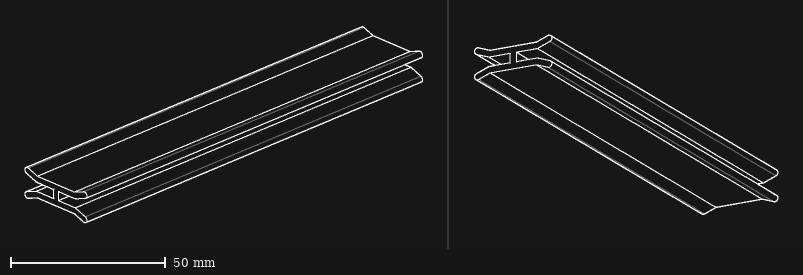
import cadquery as cq
import math

length = 152.4
width = 28.5
height = 11.0

wall = 2.3
slot_height = 3.2
lip_angle = math.radians(20)

tip_radius = wall / 2
tip_x = width / 2 - tip_radius
tip_z = height / 2 - tip_radius

flange_inner_z = slot_height / 2
flange_mid_z = flange_inner_z + wall / 2
flange_outer_z = flange_inner_z + wall
bend_x = tip_x - (tip_z - flange_mid_z) / math.tan(lip_angle)
miter_shift = wall / 2 * math.tan(lip_angle / 2)
outer_bend_x = bend_x - miter_shift
inner_bend_x = bend_x + miter_shift

tip_shift_x = tip_radius * math.sin(lip_angle)
tip_shift_z = tip_radius * math.cos(lip_angle)
tip_outer = (tip_x - tip_shift_x, tip_z + tip_shift_z)
tip_end = (tip_x + tip_shift_z, tip_z + tip_shift_x)
tip_inner = (tip_x + tip_shift_x, tip_z - tip_shift_z)


def mirrored(point):
    """Reflect a profile point across the vertical centre plane."""
    return (-point[0], point[1])


def make_upper_flange():
    """Flat flange with an outward-bent, round-tipped lip on each side."""
    outer_bend = (outer_bend_x, flange_outer_z)
    inner_bend = (inner_bend_x, flange_inner_z)
    return (
        cq.Workplane("XZ")
        .moveTo(*mirrored(outer_bend))
        .lineTo(*outer_bend)
        .lineTo(*tip_outer)
        .threePointArc(tip_end, tip_inner)
        .lineTo(*inner_bend)
        .lineTo(*mirrored(inner_bend))
        .lineTo(*mirrored(tip_inner))
        .threePointArc(mirrored(tip_end), mirrored(tip_outer))
        .close()
        .extrude(length / 2, both=True)
    )


def make_web():
    """Central wall joining the middles of the two flanges."""
    return cq.Workplane("XY").box(wall, length, 2 * flange_mid_z)


upper_flange = make_upper_flange()
lower_flange = upper_flange.mirror("XY")
result = upper_flange.union(make_web()).union(lower_flange)